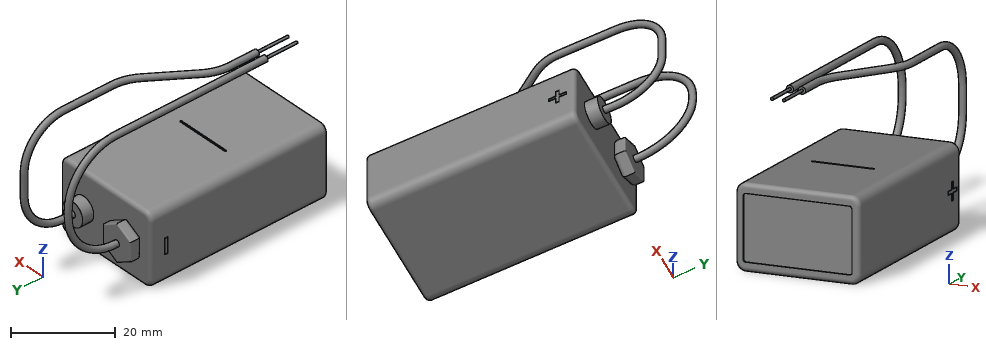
import cadquery as cq
import math

OVERALL_LENGTH = 60.9
OVERALL_HEIGHT = 35.0

CASE_WIDTH = 26.25
CASE_HEIGHT = 17.55
CASE_LENGTH = 45.0
FRONT_Y = -OVERALL_LENGTH / 2
REAR_Y = FRONT_Y + CASE_LENGTH
MID_Z = CASE_HEIGHT / 2
SIDE_EDGE_RADIUS = 2.0
END_EDGE_RADIUS = 1.0

PANEL_WIDTH = 22.95
PANEL_HEIGHT = 13.6
PANEL_CORNER_RADIUS = 0.6
PANEL_DEPTH = 0.35

MARK_LENGTH = 3.8
MARK_WIDTH = 0.75
MARK_HEIGHT = 0.1
MARK_FROM_REAR = 3.8
MARK_Y = REAR_Y - MARK_FROM_REAR

RULE_LENGTH = 13.1
RULE_WIDTH = 0.3
RULE_DEPTH = 0.15
RULE_Y = -10.15

TERMINAL_SPACING = 12.7
TERMINAL_X = TERMINAL_SPACING / 2
TERMINAL_LENGTH = 2.8
TERMINAL_Y = REAR_Y + TERMINAL_LENGTH
ROUND_DIAMETER = 5.8
HEX_SIDES = 6
HEX_ACROSS_FLATS = 8.0
HEX_BASE_RADIUS = 1.05
HEX_RIM_RADIUS = 0.3

SLEEVE_DIAMETER = 1.5
SLEEVE_RADIUS = SLEEVE_DIAMETER / 2
CONDUCTOR_RADIUS = 0.3
CONDUCTOR_LENGTH = 8.0
LOOP_REAR_Y = OVERALL_LENGTH / 2 - SLEEVE_RADIUS
WIRE_TOP_Z = OVERALL_HEIGHT - SLEEVE_RADIUS
SLEEVE_END_Y = -20.4
LEFT_LOOP_RADIUS = 12.0
RIGHT_LOOP_RADIUS = 10.0

JOG_START_Y = 7.3
JOG_RADIUS = 10.0
JOG_ANGLE = 34.7
JOG_END_X = -3.85


def make_case():
    """Rounded box with a panel recessed into its front end and a rule engraved on top."""
    case = (
        cq.Workplane("XY")
        .box(CASE_WIDTH, CASE_LENGTH, CASE_HEIGHT)
        .translate((0, FRONT_Y + CASE_LENGTH / 2, MID_Z))
        .edges("|Y")
        .fillet(SIDE_EDGE_RADIUS)
        .faces("<Y or >Y")
        .edges()
        .fillet(END_EDGE_RADIUS)
    )
    panel = (
        cq.Workplane("XY")
        .box(PANEL_WIDTH, 2 * PANEL_DEPTH, PANEL_HEIGHT)
        .edges("|Y")
        .fillet(PANEL_CORNER_RADIUS)
        .translate((0, FRONT_Y, MID_Z))
    )
    rule = (
        cq.Workplane("XY")
        .box(RULE_LENGTH, RULE_WIDTH, 2 * RULE_DEPTH)
        .translate((0, RULE_Y, CASE_HEIGHT))
    )
    return case.cut(panel).cut(rule)


def make_mark_bar(side, length_y, length_z):
    """Bar half sunk into a side wall; side is -1 for the left, 1 for the right."""
    return (
        cq.Workplane("XY")
        .box(2 * MARK_HEIGHT, length_y, length_z)
        .translate((side * CASE_WIDTH / 2, MARK_Y, MID_Z))
    )


def make_terminal_plane(x):
    """Sketch plane on the rear end, its normal along -Y, centred on the terminal at x."""
    return cq.Workplane("XZ", origin=(x, REAR_Y, MID_Z))


def make_hex_terminal():
    """Hexagonal snap with corners up and down, rounded at its base and rim."""
    across_corners = HEX_ACROSS_FLATS / math.cos(math.pi / HEX_SIDES)
    return (
        make_terminal_plane(-TERMINAL_X)
        .transformed(rotate=(0, 0, 90))
        .polygon(HEX_SIDES, across_corners)
        .extrude(-TERMINAL_LENGTH)
        .faces("<Y")
        .edges()
        .fillet(HEX_BASE_RADIUS)
        .faces(">Y")
        .edges()
        .fillet(HEX_RIM_RADIUS)
    )


def make_round_terminal():
    """Plain cylindrical snap."""
    return make_terminal_plane(TERMINAL_X).circle(ROUND_DIAMETER / 2).extrude(-TERMINAL_LENGTH)


def make_battery():
    """Case with its terminals, a minus on the left side and a plus on the right."""
    battery = make_case().union(make_hex_terminal()).union(make_round_terminal())
    minus = make_mark_bar(-1, MARK_WIDTH, MARK_LENGTH)
    plus = make_mark_bar(1, MARK_WIDTH, MARK_LENGTH).union(make_mark_bar(1, MARK_LENGTH, MARK_WIDTH))
    return battery.union(minus).union(plus)


def line_to(path, end):
    """Straight edge from the end of the path to the given point."""
    path.append(cq.Edge.makeLine(path[-1].endPoint(), cq.Vector(*end)))


def arc_to(path, end):
    """Arc that leaves the last edge of the path tangentially."""
    last = path[-1]
    path.append(cq.Edge.makeTangentArc(last.endPoint(), last.tangentAt(1), cq.Vector(*end)))


def start_loop(x, radius):
    """Path from a terminal back, up and over to the start of the top run."""
    loop_start_y = LOOP_REAR_Y - radius
    stub = cq.Edge.makeLine(cq.Vector(x, TERMINAL_Y, MID_Z), cq.Vector(x, loop_start_y, MID_Z))
    path = [stub]
    arc_to(path, (x, LOOP_REAR_Y, MID_Z + radius))
    line_to(path, (x, LOOP_REAR_Y, WIRE_TOP_Z - radius))
    arc_to(path, (x, loop_start_y, WIRE_TOP_Z))
    return path


def add_jog(path, x):
    """Straight run, then two equal opposite bends that shift the wire from x to JOG_END_X."""
    angle = math.radians(JOG_ANGLE)
    bend_x = JOG_RADIUS * (1 - math.cos(angle))
    bend_y = JOG_RADIUS * math.sin(angle)
    slant_x = x - JOG_END_X - 2 * bend_x
    slant_y = slant_x / math.tan(angle)
    slant_start_y = JOG_START_Y - bend_y
    slant_end_y = slant_start_y - slant_y
    line_to(path, (x, JOG_START_Y, WIRE_TOP_Z))
    arc_to(path, (x - bend_x, slant_start_y, WIRE_TOP_Z))
    line_to(path, (JOG_END_X + bend_x, slant_end_y, WIRE_TOP_Z))
    arc_to(path, (JOG_END_X, slant_end_y - bend_y, WIRE_TOP_Z))


def make_wire(path, end_x):
    """Sleeve swept along the path to its front end, plus the bare conductor."""
    line_to(path, (end_x, SLEEVE_END_Y, WIRE_TOP_Z))
    start = path[0].startPoint()
    sleeve = (
        cq.Workplane("XZ", origin=start.toTuple())
        .circle(SLEEVE_RADIUS)
        .sweep(cq.Workplane(cq.Wire.assembleEdges(path)))
    )
    conductor = (
        cq.Workplane("XZ", origin=(end_x, SLEEVE_END_Y, WIRE_TOP_Z))
        .circle(CONDUCTOR_RADIUS)
        .extrude(CONDUCTOR_LENGTH)
    )
    return sleeve.union(conductor)


def make_left_wire():
    """Wire that runs straight forward from its loop."""
    return make_wire(start_loop(-TERMINAL_X, LEFT_LOOP_RADIUS), -TERMINAL_X)


def make_right_wire():
    """Wire that bends over towards the left one before its end."""
    path = start_loop(TERMINAL_X, RIGHT_LOOP_RADIUS)
    add_jog(path, TERMINAL_X)
    return make_wire(path, JOG_END_X)


battery = make_battery()
left_wire = make_left_wire()
right_wire = make_right_wire()

result = cq.Compound.makeCompound([
    battery.solids().val(),
    left_wire.solids().val(),
    right_wire.solids().val(),
])